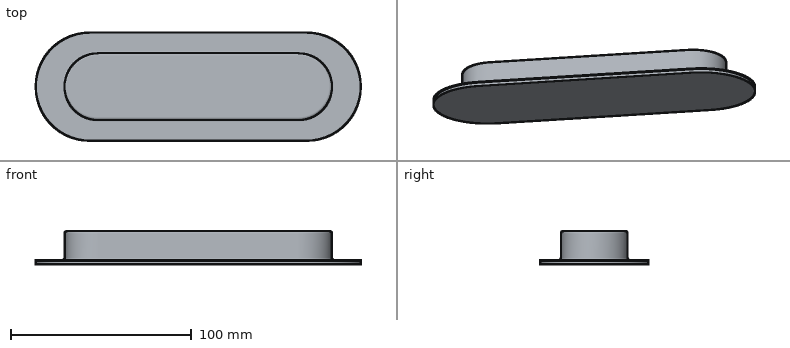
import cadquery as cq

flange_length = 180.0
flange_width = 60.0
total_height = 18.5

plate_thickness = 2.0
cover_flange_thickness = 0.5

block_length = 148.0
block_width = 37.0
top_edge_radius = 1.5
base_fillet_radius = 1.0

flange_top = plate_thickness + cover_flange_thickness
block_height = total_height - flange_top


def stadium(length, width, height, bottom):
    """Flat-topped slab with full-round ends along X, standing on the level `bottom`."""
    return cq.Workplane("XY").workplane(offset=bottom).slot2D(length, width).extrude(height)


def block_foot_edges():
    """Selector for the edges where the block meets the top of the flange."""
    half_length = block_length / 2 + base_fillet_radius
    half_width = block_width / 2 + base_fillet_radius
    half_depth = cover_flange_thickness / 2
    low_corner = (-half_length, -half_width, flange_top - half_depth)
    high_corner = (half_length, half_width, flange_top + half_depth)
    return cq.selectors.BoxSelector(low_corner, high_corner, boundingbox=True)


def make_base_plate():
    """Plain backing plate under the cover."""
    return stadium(flange_length, flange_width, plate_thickness, 0)


def make_cover():
    """Thin flange with a raised block, rounded on top and filleted into the flange."""
    flange = stadium(flange_length, flange_width, cover_flange_thickness, plate_thickness)
    block = stadium(block_length, block_width, block_height, flange_top)
    block = block.faces(">Z").edges().fillet(top_edge_radius)
    cover_body = flange.union(block).edges(block_foot_edges()).fillet(base_fillet_radius)
    return cover_body.solids()


base_plate = make_base_plate()
cover = make_cover()

result = cq.Compound.makeCompound([base_plate.val(), cover.val()])